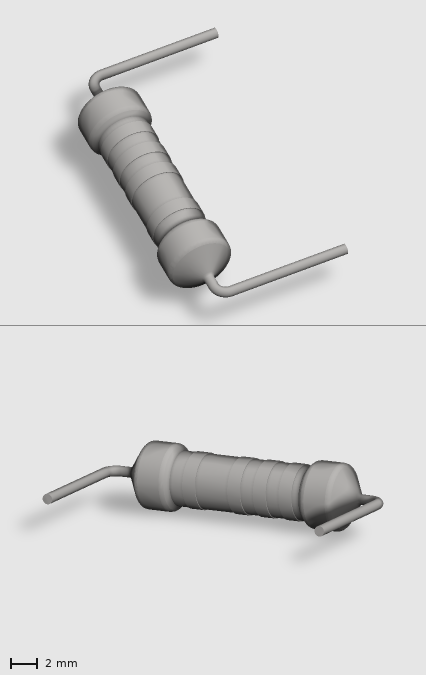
import cadquery as cq

overall_length = 23.65
overall_depth = 13.1

lead_radius = 0.4
bend_radius = 0.97
lead_x = overall_length / 2 - lead_radius
bend_start_x = lead_x - bend_radius

body_radius = 2.1
cap_radius = 2.6
cap_inner_x = 5.42
cap_inner_corner_x = 5.9
cap_outer_corner_x = 8.15
cone_tip_x = 9.58
cap_edge_fillet = 0.47
cone_tip_fillet = 0.28

band_radius = 2.18
band_pitch = 2.15
band_width = band_pitch / 2
first_band_x = -4.85
grouped_bands = 3
last_band_x = 3.25
band_starts = [first_band_x + i * band_pitch for i in range(grouped_bands)]
band_starts.append(last_band_x)

lead_tip_y = overall_depth - cap_radius


def rod(start_x, length, radius):
    """Cylinder along X."""
    return cq.Workplane("YZ", origin=(start_x, 0, 0)).circle(radius).extrude(length)


def turned_core():
    """Body, both end caps and the straight lead stubs, turned about X."""
    right_half = [
        (cap_inner_x, body_radius),
        (cap_inner_corner_x, cap_radius),
        (cap_outer_corner_x, cap_radius),
        (cone_tip_x, lead_radius),
        (bend_start_x, lead_radius),
        (bend_start_x, 0),
    ]
    left_half = [(-x, radius) for x, radius in reversed(right_half)]
    core = (
        cq.Workplane("XY")
        .polyline(left_half + right_half)
        .close()
        .revolve(360, (0, 0, 0), (1, 0, 0))
    )
    core = core.edges(cq.selectors.RadiusNthSelector(-1)).fillet(cap_edge_fillet)
    tip_size = 2.5 * lead_radius
    half_window = (bend_start_x - cone_tip_x) / 2
    for side in (-1, 1):
        tip = cq.selectors.BoxSelector(
            (side * cone_tip_x - half_window, -tip_size, -tip_size),
            (side * cone_tip_x + half_window, tip_size, tip_size),
        )
        core = core.edges("%CIRCLE").edges(tip).fillet(cone_tip_fillet)
    return core


def right_lead():
    """Quarter bend followed by a straight run to the lead tip."""
    bend = (
        cq.Workplane("YZ", origin=(bend_start_x, 0, 0))
        .circle(lead_radius)
        .revolve(90, (bend_radius, 0, 0), (bend_radius, 1, 0))
    )
    straight = (
        cq.Workplane("XZ", origin=(lead_x, bend_radius, 0))
        .circle(lead_radius)
        .extrude(bend_radius - lead_tip_y)
    )
    return bend.union(straight)


result = turned_core()
for band_start in band_starts:
    result = result.union(rod(band_start, band_width, band_radius))

lead = right_lead()
result = result.union(lead).union(lead.mirror("YZ"))